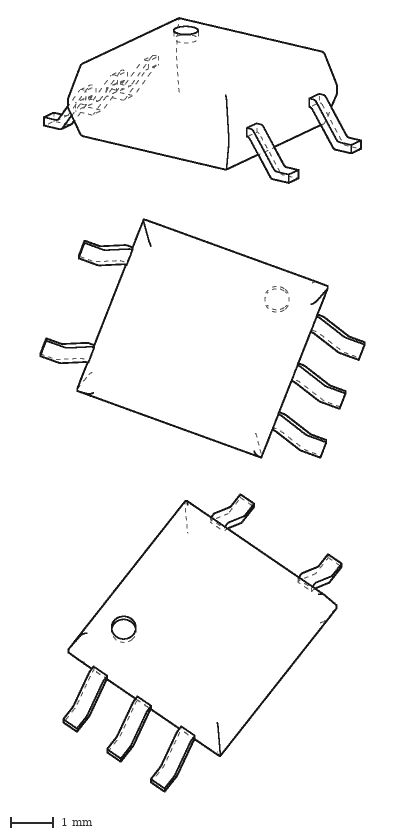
import cadquery as cq
import math

overall_length = 7.0
overall_height = 2.0

housing_length = 4.6
housing_width = 4.4
standoff = 0.15
lead_thickness = 0.21
band_top = 1.12
band_bottom = band_top - lead_thickness
face_inset = 0.23
edge_radius = 0.12

mark_diameter = 0.57
mark_depth = 0.2
mark_edge_distance = 0.925

lead_width = 0.4
lead_pitch = 1.27
foot_length = 0.39
shank_run = 0.645
bend_radius = 0.1
left_lead_rows = (-1, 0, 1)
right_lead_rows = (-1, 1)


def make_tapered_half(start_z, end_z):
    """Frustum from the full band outline at start_z to the inset face at end_z."""
    height = end_z - start_z
    taper_angle = math.degrees(math.atan(face_inset / abs(height)))
    return (
        cq.Workplane("XY", origin=(0, 0, start_z))
        .rect(housing_length, housing_width)
        .extrude(height, taper=taper_angle)
    )


def make_housing():
    """Straight middle band with a tapered half above and below it, and a round pin 1 recess."""
    band = (
        cq.Workplane("XY", origin=(0, 0, band_bottom))
        .rect(housing_length, housing_width)
        .extrude(lead_thickness)
    )
    upper_half = make_tapered_half(band_top, overall_height)
    lower_half = make_tapered_half(band_bottom, standoff)
    body = band.union(upper_half).union(lower_half)
    body = body.faces(">Z or <Z").edges().fillet(edge_radius)

    mark_x = -housing_length / 2 + mark_edge_distance
    mark_y = housing_width / 2 - mark_edge_distance
    mark = (
        cq.Workplane("XY", origin=(mark_x, mark_y, overall_height))
        .circle(mark_diameter / 2)
        .extrude(-mark_depth)
    )
    return body.cut(mark)


def make_left_lead(center_y):
    """Constant-thickness lead that runs down from the left side of the band to a flat foot."""
    toe_x = -overall_length / 2
    root_x = -housing_length / 2
    heel_top_x = toe_x + foot_length
    shoulder_top_x = heel_top_x + shank_run

    shank_angle = math.atan2(band_top - lead_thickness, shank_run)
    underside_shift = lead_thickness * math.tan(shank_angle / 2)

    profile = [
        (toe_x, 0),
        (heel_top_x + underside_shift, 0),
        (shoulder_top_x + underside_shift, band_bottom),
        (root_x, band_bottom),
        (root_x, band_top),
        (shoulder_top_x, band_top),
        (heel_top_x, lead_thickness),
        (toe_x, lead_thickness),
    ]
    lead = (
        cq.Workplane("XZ", origin=(0, center_y + lead_width / 2, 0))
        .polyline(profile)
        .close()
        .extrude(lead_width)
    )
    bend_edges = lead.edges("|Y").edges("not(<X or >X)")
    return bend_edges.fillet(bend_radius)


def make_right_lead(center_y):
    """Left lead mirrored to the opposite side of the housing."""
    return make_left_lead(center_y).mirror("YZ")


housing = make_housing()
left_leads = [make_left_lead(row * lead_pitch) for row in left_lead_rows]
right_leads = [make_right_lead(row * lead_pitch) for row in right_lead_rows]

bodies = [housing, *left_leads, *right_leads]
result = cq.Compound.makeCompound([body.val() for body in bodies])